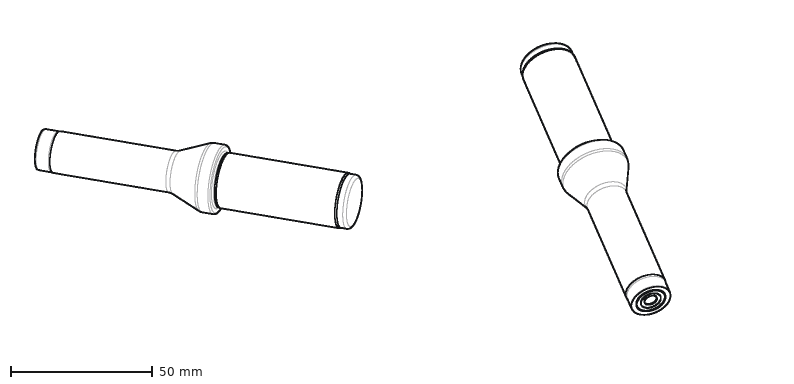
import cadquery as cq

OVERALL_LENGTH = 117.0
TIP_LENGTH = 5.7
CONE_START = 49.9
CONE_END = 61.95
FLANGE_BACK = 67.0
SHANK_START = 68.1
LEAD_IN_LENGTH = 0.7
PILOT_START = 113.8

TIP_DIAMETER = 14.9
NECK_DIAMETER = 15.1
FLANGE_DIAMETER = 25.0
RELIEF_DIAMETER = 19.5
SHANK_DIAMETER = 20.0

CONE_ROOT_RADIUS = 4.5
CONE_RIM_RADIUS = 2.6
FLANGE_BACK_RADIUS = 0.6
RELIEF_ROOT_RADIUS = 0.6
PILOT_END_RADIUS = 1.0
TIP_FRONT_CHAMFER_LENGTH = 0.5
TIP_FRONT_CHAMFER_DEPTH = 0.1
TIP_BACK_CHAMFER_LENGTH = 0.7

GROOVE_OUTER_DIAMETER = 11.0
GROOVE_INNER_DIAMETER = 10.5
RECESS_DIAMETER = 7.5
CENTRE_HOLE_DIAMETER = 4.7
RECESS_DEPTH = 0.2
CENTRE_HOLE_DEPTH = 0.7


def revolve_about_x(points):
    """Revolve a closed (x, radius) outline about the X axis."""
    return cq.Workplane("XY").polyline(points).close().revolve(360, (0, 0, 0), (1, 0, 0))


def round_edge(body, x, diameter, radius):
    """Round the circular edge of the given diameter at station x."""
    margin = 0.01
    reach = diameter / 2 + margin
    edge_region = cq.selectors.BoxSelector(
        (x - margin, -reach, -reach), (x + margin, reach, reach), boundingbox=True
    )
    edges = body.edges(edge_region).edges("%CIRCLE")
    return edges.fillet(radius)


def make_holder():
    """Neck, conical flange and shank, turned as one piece."""
    neck = NECK_DIAMETER / 2
    flange = FLANGE_DIAMETER / 2
    relief = RELIEF_DIAMETER / 2
    shank = SHANK_DIAMETER / 2
    holder = revolve_about_x([
        (TIP_LENGTH, 0),
        (TIP_LENGTH, neck),
        (CONE_START, neck),
        (CONE_END, flange),
        (FLANGE_BACK, flange),
        (FLANGE_BACK, relief),
        (SHANK_START, relief),
        (SHANK_START + LEAD_IN_LENGTH, shank),
        (PILOT_START - LEAD_IN_LENGTH, shank),
        (PILOT_START, relief),
        (OVERALL_LENGTH, relief),
        (OVERALL_LENGTH, 0),
    ])
    holder = round_edge(holder, FLANGE_BACK, RELIEF_DIAMETER, RELIEF_ROOT_RADIUS)
    holder = round_edge(holder, FLANGE_BACK, FLANGE_DIAMETER, FLANGE_BACK_RADIUS)
    holder = round_edge(holder, CONE_START, NECK_DIAMETER, CONE_ROOT_RADIUS)
    holder = round_edge(holder, CONE_END, FLANGE_DIAMETER, CONE_RIM_RADIUS)
    return round_edge(holder, OVERALL_LENGTH, RELIEF_DIAMETER, PILOT_END_RADIUS)


def face_pocket(diameter, depth):
    """Round cutter sunk into the tip face."""
    return cq.Workplane("YZ").circle(diameter / 2).extrude(depth)


def make_tip():
    """Disc seated on the end of the neck, with shallow circular recesses in its face."""
    tip_radius = TIP_DIAMETER / 2
    tip = revolve_about_x([
        (0, 0),
        (0, tip_radius - TIP_FRONT_CHAMFER_DEPTH),
        (TIP_FRONT_CHAMFER_LENGTH, tip_radius),
        (TIP_LENGTH - TIP_BACK_CHAMFER_LENGTH, tip_radius),
        (TIP_LENGTH, NECK_DIAMETER / 2),
        (TIP_LENGTH, 0),
    ])
    groove = face_pocket(GROOVE_OUTER_DIAMETER, RECESS_DEPTH).cut(
        face_pocket(GROOVE_INNER_DIAMETER, RECESS_DEPTH)
    )
    tip = tip.cut(groove)
    tip = tip.cut(face_pocket(RECESS_DIAMETER, RECESS_DEPTH))
    return tip.cut(face_pocket(CENTRE_HOLE_DIAMETER, CENTRE_HOLE_DEPTH))


holder = make_holder()
tip = make_tip()
result = cq.Compound.makeCompound([holder.val(), tip.val()])